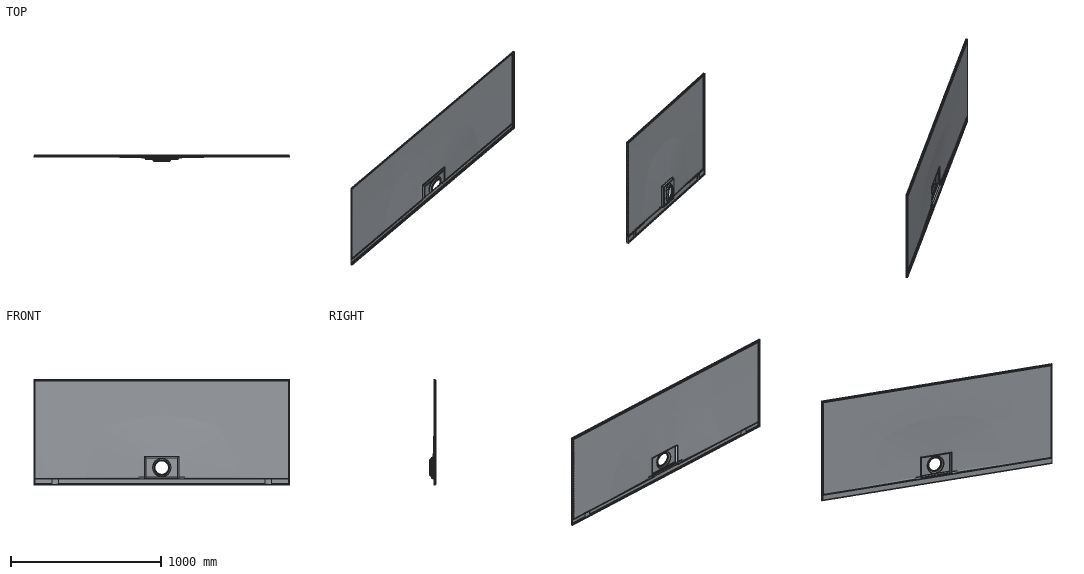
import cadquery as cq

WIDTH = 1700.0
HEIGHT = 700.0
HUB_LEVEL = 42.0

RIM_LEVEL = 14.0
STRIP_LEVEL = 12.0
PLATE_LEVEL = 30.0
PLATE_FOOT_LEVEL = 19.0
COLLAR_LEVEL = 17.0
DOME_LEVEL = 8.0
FLOOR_LEVEL = 7.0

SKIN = 5.0

RIM_WIDTH = 8.0
BACK_CHAMFER = 5.0
INNER_X = WIDTH / 2 - RIM_WIDTH
INNER_Z = HEIGHT / 2 - RIM_WIDTH

STRIP_TOP_Z = -311.0
PAD_WIDTH = 45.0
PAD_X = 707.0

SEAM_X = WIDTH / 4
KNOT_X = 390.0
KNOT_Z = 22.0
DOME_TOP_Z = 114.0
DOME_FOOT_X = 502.0
DOME_FOOT_Z = -298.0
UPPER_SEAM_MIDDLE = (413.0, 178.0)
DOME_UPPER_MIDDLE = (204.0, 85.0)
DOME_LOWER_MIDDLE = (460.0, -128.0)
PANEL_FOOT_Z = -305.0
LEDGE_Z = -308.0
LEDGE_DROP = 3.0

COLLAR_FOOT_X = 151.0
COLLAR_TOP_Z = -124.0
COLLAR_SIDE = (143.0, -175.0)
COLLAR_CORNER = (128.0, -150.0)
COLLAR_SHOULDER = (100.0, -133.0)
PLATE_X = 105.0
PLATE_TOP_Z = -170.0
PLATE_DRAFT = 8.0
PLATE_FOOT_X = PLATE_X + PLATE_DRAFT
PLATE_FOOT_TOP_Z = PLATE_TOP_Z + PLATE_DRAFT

DRAIN_Z = -235.0
DRAIN_DIAMETER = 90.0
HUB_BASE_DIAMETER = 120.0
HUB_TIP_DIAMETER = 102.0


def point(x, z, level):
    return cq.Vector(x, -level, z)


def line(start, end):
    return cq.Edge.makeLine(start, end)


def bow(start, middle, end):
    return cq.Edge.makeThreePointArc(start, middle, end)


def loop_face(*corners):
    """Face bounded by straight edges."""
    return cq.Face.makeFromWires(cq.Wire.makePolygon(corners, close=True))


def ruled(start_a, end_a, start_b, end_b):
    """Face swept straight from edge A to edge B."""
    return cq.Face.makeRuledSurface(line(start_a, end_a), line(start_b, end_b))


def patch(*edges):
    """Smooth face filling a closed ring of edges."""
    return cq.Face.makeNSidedSurface(edges, [])


def ledge_point(top):
    """Point on the lower ledge edge under a point of the panel's lower edge."""
    return point(top.x, LEDGE_Z, max(-top.y - LEDGE_DROP, FLOOR_LEVEL))


def half_panel_faces():
    """Faces of the panel on the +X side of the middle plane."""
    top_middle = point(0, INNER_Z, FLOOR_LEVEL)
    top_seam = point(SEAM_X, INNER_Z, FLOOR_LEVEL)
    top_corner = point(INNER_X, INNER_Z, FLOOR_LEVEL)
    side_seam = point(INNER_X, KNOT_Z, FLOOR_LEVEL)
    side_foot = point(INNER_X, PANEL_FOOT_Z, FLOOR_LEVEL)

    knot = point(KNOT_X, KNOT_Z, DOME_LEVEL)
    dome_top = point(0, DOME_TOP_Z, DOME_LEVEL)
    dome_foot = point(DOME_FOOT_X, DOME_FOOT_Z, DOME_LEVEL)

    collar_foot = point(COLLAR_FOOT_X, DOME_FOOT_Z, COLLAR_LEVEL)
    collar_side = point(*COLLAR_SIDE, COLLAR_LEVEL)
    collar_corner = point(*COLLAR_CORNER, COLLAR_LEVEL)
    collar_shoulder = point(*COLLAR_SHOULDER, COLLAR_LEVEL)
    collar_top = point(0, COLLAR_TOP_Z, COLLAR_LEVEL)

    plate_foot = point(PLATE_FOOT_X, DOME_FOOT_Z, PLATE_FOOT_LEVEL)
    plate_foot_side = point(PLATE_FOOT_X, collar_side.z, PLATE_FOOT_LEVEL)
    plate_foot_corner = point(PLATE_FOOT_X, PLATE_FOOT_TOP_Z, PLATE_FOOT_LEVEL)
    plate_foot_shoulder = point(collar_shoulder.x, PLATE_FOOT_TOP_Z, PLATE_FOOT_LEVEL)
    plate_foot_top = point(0, PLATE_FOOT_TOP_Z, PLATE_FOOT_LEVEL)
    plate_bottom = point(PLATE_X, DOME_FOOT_Z, PLATE_LEVEL)
    plate_corner = point(PLATE_X, PLATE_TOP_Z, PLATE_LEVEL)
    plate_top = point(0, PLATE_TOP_Z, PLATE_LEVEL)
    plate_middle = point(0, DOME_FOOT_Z, PLATE_LEVEL)

    upper_seam = bow(top_seam, point(*UPPER_SEAM_MIDDLE, FLOOR_LEVEL), knot)
    dome_upper = bow(knot, point(*DOME_UPPER_MIDDLE, DOME_LEVEL), dome_top)
    dome_lower = bow(knot, point(*DOME_LOWER_MIDDLE, DOME_LEVEL), dome_foot)

    faces = [
        patch(line(top_middle, top_seam), upper_seam, dome_upper, line(dome_top, top_middle)),
        patch(line(top_seam, top_corner), line(top_corner, side_seam), line(side_seam, knot), upper_seam),
        patch(line(knot, side_seam), line(side_seam, side_foot), line(side_foot, dome_foot), dome_lower),
        patch(dome_upper, line(dome_top, collar_top), line(collar_top, collar_shoulder),
              line(collar_shoulder, collar_corner), line(collar_corner, knot)),
        patch(dome_lower, line(dome_foot, collar_foot), line(collar_foot, collar_side),
              line(collar_side, collar_corner), line(collar_corner, knot)),
        ruled(collar_foot, collar_side, plate_foot, plate_foot_side),
        ruled(collar_side, collar_corner, plate_foot_side, plate_foot_corner),
        ruled(collar_corner, collar_shoulder, plate_foot_corner, plate_foot_shoulder),
        ruled(collar_shoulder, collar_top, plate_foot_shoulder, plate_foot_top),
        loop_face(plate_foot, plate_foot_side, plate_foot_corner, plate_corner, plate_bottom),
        loop_face(plate_foot_corner, plate_foot_shoulder, plate_foot_top, plate_top, plate_corner),
        loop_face(plate_bottom, plate_corner, plate_top, plate_middle),
    ]

    ledge_tops = [plate_middle, plate_bottom, plate_foot, collar_foot, dome_foot, side_foot]
    for inner, outer in zip(ledge_tops, ledge_tops[1:]):
        inner_ledge, outer_ledge = ledge_point(inner), ledge_point(outer)
        inner_strip = point(inner.x, STRIP_TOP_Z, STRIP_LEVEL)
        outer_strip = point(outer.x, STRIP_TOP_Z, STRIP_LEVEL)
        faces += [
            ruled(inner, outer, inner_ledge, outer_ledge),
            ruled(inner_ledge, outer_ledge, inner_strip, outer_strip),
            loop_face(inner_strip, outer_strip, point(outer.x, STRIP_TOP_Z, 0),
                      point(inner.x, STRIP_TOP_Z, 0)),
        ]

    top_back = point(INNER_X, INNER_Z, 0)
    side_back = point(INNER_X, KNOT_Z, 0)
    foot_back = point(INNER_X, STRIP_TOP_Z, 0)
    side_strip = point(INNER_X, STRIP_TOP_Z, STRIP_LEVEL)
    faces += [
        loop_face(top_middle, top_seam, top_corner, top_back, point(0, INNER_Z, 0)),
        loop_face(top_corner, side_seam, side_back, top_back),
        loop_face(side_seam, side_foot, ledge_point(side_foot), side_strip, foot_back, side_back),
        loop_face(point(0, INNER_Z, 0), top_back, side_back, foot_back, point(0, STRIP_TOP_Z, 0)),
    ]
    return faces


def block(width, bottom_z, top_z, level, center_x=0.0):
    """Box standing on the back plane."""
    corner = cq.Vector(center_x - width / 2, -level, bottom_z)
    return cq.Workplane(obj=cq.Solid.makeBox(width, level, top_z - bottom_z, corner))


def make_panel():
    half = half_panel_faces()
    other_half = [face.mirror("YZ") for face in half]
    return cq.Workplane(obj=cq.Solid.makeSolid(cq.Shell.makeShell(half + other_half)))


def make_frame():
    outer = block(WIDTH, -HEIGHT / 2, HEIGHT / 2, RIM_LEVEL).faces(">Y").chamfer(BACK_CHAMFER)
    return outer.cut(block(2 * INNER_X, -INNER_Z, INNER_Z, RIM_LEVEL))


def make_strip():
    strip = block(2 * INNER_X, -INNER_Z, STRIP_TOP_Z, STRIP_LEVEL)
    for side in (-1, 1):
        strip = strip.union(block(PAD_WIDTH, -INNER_Z, STRIP_TOP_Z, RIM_LEVEL, side * PAD_X))
    return strip


def make_hub():
    return cq.Workplane(obj=cq.Solid.makeCone(
        HUB_BASE_DIAMETER / 2, HUB_TIP_DIAMETER / 2, HUB_LEVEL - PLATE_LEVEL,
        point(0, DRAIN_Z, PLATE_LEVEL), cq.Vector(0, -1, 0)))


def make_drain_hole():
    return cq.Workplane(obj=cq.Solid.makeCylinder(
        DRAIN_DIAMETER / 2, HUB_LEVEL, point(0, DRAIN_Z, 0), cq.Vector(0, -1, 0)))


basin = make_panel().union(make_hub())
basin_skin = basin.cut(basin.translate((0, SKIN, 0)))
tray = basin_skin.union(make_strip()).union(make_frame())
result = tray.cut(make_drain_hole())